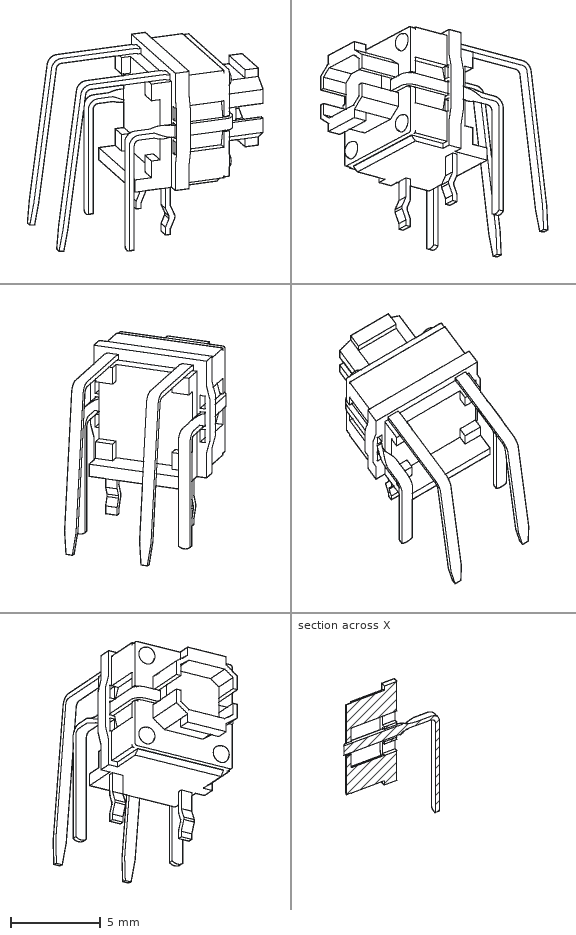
import cadquery as cq
import math


overall_length = 12.45
overall_height = 10.3

flange_half_width = 3.4
flange_ear_half_width = 3.6
flange_thickness = 0.83
height = 7.01
mid_z = height / 2
ear_half_height = 1.25
ear_taper_half_height = 1.99

housing_half_width = 3.2
housing_height = 6.41
housing_back = 3.32
back_plate_thickness = 0.32
back_plate_front = housing_back - back_plate_thickness
back_corner_radius = 0.15
back_plate_drop = 0.01
keel_back = 3.0
keel_chamfer = 0.27

base_half_width = 2.81
base_top = 6.32
base_depth = 0.68
tab_depth = 1.21
tab_width = 1.03
tab_height = 1.0
ledge_depth = 2.19
ledge_height = 0.73

plunger_back = 5.83
plunger_half_width = 2.0
plunger_half_height = 1.8
plunger_top_width = 2.53
plunger_top_half_width = plunger_top_width / 2
plunger_side_half_height = 1.28
lip_thickness = 0.8
lip_half_height = 2.3
plunger_slot_half_height = 0.45
plunger_wall = 0.29
plunger_core_back = 4.3

lead_width = 0.7
sheet = 0.3
bend_inner = 0.3
bend_outer = bend_inner + sheet

strip_x = 3.16
strip_inner = strip_x - sheet / 2
strip_outer = strip_x + sheet / 2
strip_back = 3.66
strip_end_x = plunger_half_width - plunger_wall
twist_length = 1.32
twist_angle = 90
side_lead_front = 2.81
side_lead_bottom = height - overall_height
side_lead_tip = 0.12

recess_half_height = 1.38
recess_end_half_width = 2.76
seat_half_height = 0.42
window_near = 0.62
window_far = 1.4

rivet_x = 2.44
rivet_offset_z = 2.45
rivet_radius = 0.5
rivet_height = 0.31
rivet_rounding = 0.3

front_lead_spacing = 4.52
front_lead_x = front_lead_spacing / 2
front_lead_top = 6.71
front_lead_tilt = 7.7
front_lead_tip_y = plunger_back - overall_length
front_lead_bend_y = -4.78
front_lead_taper = 1.35
front_lead_tip_width = 0.39
root_drop = 0.05
root_step_start = -0.11
root_step_end = -0.36

clip_shift_x = 0.04
clip_bottom = -2.88
clip_knee = 0.27
clip_knee_z = -1.84
clip_knee_flat = 0.15
clip_hollow = -0.09
clip_back_reach = 0.7
clip_front_reach = 0.56


def box(x0, x1, y0, y1, z0, z1):
    """Axis-aligned block between two opposite corners."""
    return cq.Workplane("XY").box(x1 - x0, y1 - y0, z1 - z0, centered=False).translate((x0, y0, z0))


def centred_block(half_width, y0, y1, z0, z1):
    return box(-half_width, half_width, y0, y1, z0, z1)


def along_y(points, y0, y1):
    """Prism with an X-Z outline that spans y0 to y1."""
    return cq.Workplane("XZ", origin=(0, y1, 0)).polyline(points).close().extrude(y1 - y0)


def mirrored_both(shape):
    """The shape together with its copy on the other side of X = 0."""
    return shape.union(shape.mirror("YZ"))


def make_flange():
    side = [
        (flange_half_width, 0),
        (flange_half_width, mid_z - ear_taper_half_height),
        (flange_ear_half_width, mid_z - ear_half_height),
        (flange_ear_half_width, mid_z + ear_half_height),
        (flange_half_width, mid_z + ear_taper_half_height),
        (flange_half_width, height),
    ]
    outline = side + [(-x, z) for x, z in reversed(side)]
    flange = along_y(outline, 0, flange_thickness)

    windows = [
        (-window_far, -window_near),
        (-seat_half_height, seat_half_height),
        (window_near, window_far),
    ]
    for low, high in windows:
        window = box(strip_inner, strip_outer, 0, flange_thickness, mid_z + low, mid_z + high)
        flange = flange.cut(mirrored_both(window))
    return flange


def make_housing():
    low = mid_z - housing_height / 2
    high = mid_z + housing_height / 2
    plate_top = high - back_plate_drop
    main = centred_block(housing_half_width, flange_thickness, back_plate_front, low, high)
    back_plate = centred_block(housing_half_width, back_plate_front, housing_back, low, plate_top)
    back_plate = back_plate.edges("|Y").fillet(back_corner_radius)
    keel = centred_block(base_half_width, flange_thickness, keel_back, 0, low)
    keel = keel.edges(">Y and <Z").chamfer(keel_chamfer)

    outside = flange_ear_half_width
    recess = along_y(
        [
            (outside, mid_z - recess_half_height),
            (recess_end_half_width, mid_z - recess_half_height),
            (strip_inner, mid_z - seat_half_height),
            (strip_inner, mid_z + seat_half_height),
            (recess_end_half_width, mid_z + recess_half_height),
            (outside, mid_z + recess_half_height),
        ],
        flange_thickness,
        back_plate_front,
    )
    back_notch = box(
        strip_inner, outside, back_plate_front, housing_back,
        mid_z - plunger_slot_half_height, mid_z + plunger_slot_half_height,
    )
    housing = main.union(back_plate).union(keel)
    return housing.cut(mirrored_both(recess.union(back_notch)))


def make_base():
    base = centred_block(base_half_width, -base_depth, 0, 0, base_top)
    base = base.union(centred_block(base_half_width, -ledge_depth, 0, 0, ledge_height))
    for tab_bottom in (ledge_height, base_top - tab_height):
        tab = box(
            base_half_width - tab_width, base_half_width, -tab_depth, 0,
            tab_bottom, tab_bottom + tab_height,
        )
        base = base.union(mirrored_both(tab))
    return base


def make_plunger():
    right_side = [
        (plunger_top_half_width, -plunger_half_height),
        (plunger_half_width, -plunger_side_half_height),
        (plunger_half_width, plunger_side_half_height),
        (plunger_top_half_width, plunger_half_height),
    ]
    outline = right_side + [(-x, z) for x, z in reversed(right_side)]
    stem = along_y([(x, mid_z + z) for x, z in outline], housing_back, plunger_back)
    lip = centred_block(
        plunger_top_half_width, plunger_back - lip_thickness, plunger_back,
        mid_z - lip_half_height, mid_z + lip_half_height,
    )
    hollow = (
        cq.Workplane("XZ", origin=(0, plunger_back, mid_z))
        .polyline(outline)
        .close()
        .offset2D(-plunger_wall)
        .extrude(plunger_back - housing_back)
    )
    slot = centred_block(
        plunger_half_width, housing_back, plunger_back,
        mid_z - plunger_slot_half_height, mid_z + plunger_slot_half_height,
    )
    below_core_top = centred_block(plunger_half_width, housing_back, plunger_core_back, 0, height)
    core = hollow.intersect(below_core_top)
    return stem.union(lip).cut(hollow).cut(slot).union(core)


def make_rivet(x, z):
    """Rounded rivet head standing on the back of the housing."""
    head = cq.Workplane("XZ", origin=(x, housing_back, z)).circle(rivet_radius).extrude(-rivet_height)
    return head.faces(">Y").edges().fillet(rivet_rounding)


def make_contact_strip():
    """Upright strip along the +X side, wrapped round the back corner up to the plunger."""
    diagonal = math.sqrt(0.5)
    bend_x = strip_outer - bend_outer
    bend_y = strip_back - bend_outer
    return (
        cq.Workplane("XY", origin=(0, 0, mid_z - lead_width / 2))
        .moveTo(strip_outer, 0)
        .lineTo(strip_outer, bend_y)
        .threePointArc(
            (bend_x + bend_outer * diagonal, bend_y + bend_outer * diagonal),
            (bend_x, strip_back),
        )
        .lineTo(strip_end_x, strip_back)
        .lineTo(strip_end_x, strip_back - sheet)
        .lineTo(bend_x, strip_back - sheet)
        .threePointArc(
            (bend_x + bend_inner * diagonal, bend_y + bend_inner * diagonal),
            (strip_inner, bend_y),
        )
        .lineTo(strip_inner, 0)
        .close()
        .extrude(lead_width)
    )


def make_side_lead(x):
    """Quarter-turn twist out of the flange, then a flat lead bent down."""
    twist = (
        cq.Workplane("XZ", origin=(x, 0, mid_z))
        .rect(sheet, lead_width)
        .twistExtrude(twist_length, twist_angle)
    )

    diagonal = math.sqrt(0.5)
    top = mid_z + sheet / 2
    bend_y = bend_outer - side_lead_front
    bend_z = top - bend_outer
    flat = (
        cq.Workplane("YZ", origin=(x - lead_width / 2, 0, 0))
        .moveTo(-twist_length, top)
        .lineTo(bend_y, top)
        .threePointArc(
            (bend_y - bend_outer * diagonal, bend_z + bend_outer * diagonal),
            (-side_lead_front, bend_z),
        )
        .lineTo(-side_lead_front, side_lead_bottom)
        .lineTo(-side_lead_front + sheet, side_lead_bottom)
        .lineTo(-side_lead_front + sheet, bend_z)
        .threePointArc(
            (bend_y - bend_inner * diagonal, bend_z + bend_inner * diagonal),
            (bend_y, top - sheet),
        )
        .lineTo(-twist_length, top - sheet)
        .close()
        .extrude(lead_width)
    )

    half = lead_width / 2
    rounded_front = (
        cq.Workplane("XZ", origin=(x, 0, 0))
        .moveTo(-half, top)
        .lineTo(-half, side_lead_bottom + side_lead_tip)
        .threePointArc((0, side_lead_bottom), (half, side_lead_bottom + side_lead_tip))
        .lineTo(half, top)
        .close()
        .extrude(side_lead_front)
    )
    return twist.union(flat.intersect(rounded_front))


def make_front_lead(x):
    """Lead that steps up out of the flange, runs forward and bends down past vertical."""
    tilt = math.radians(front_lead_tilt)
    bend_z = front_lead_top - bend_outer

    def on_bend(radius, angle):
        return (front_lead_bend_y - radius * math.cos(angle), bend_z + radius * math.sin(angle))

    middle = (tilt + math.pi / 2) / 2
    outer_start = on_bend(bend_outer, tilt)
    leg = (outer_start[0] - front_lead_tip_y) / math.sin(tilt)
    inner_start = on_bend(bend_inner, tilt)
    leg_y = -leg * math.sin(tilt)
    leg_z = -leg * math.cos(tilt)

    forward = (-1, 0)
    backward = (1, 0)
    underside = front_lead_top - sheet
    lead = (
        cq.Workplane("YZ", origin=(x - lead_width / 2, 0, 0))
        .moveTo(0, front_lead_top - root_drop)
        .lineTo(root_step_start, front_lead_top - root_drop)
        .spline([(root_step_end, front_lead_top)], tangents=[forward, forward], includeCurrent=True)
        .lineTo(front_lead_bend_y, front_lead_top)
        .threePointArc(on_bend(bend_outer, middle), outer_start)
        .lineTo(outer_start[0] + leg_y, outer_start[1] + leg_z)
        .lineTo(inner_start[0] + leg_y, inner_start[1] + leg_z)
        .lineTo(*inner_start)
        .threePointArc(on_bend(bend_inner, middle), (front_lead_bend_y, underside))
        .lineTo(root_step_end, underside)
        .spline(
            [(root_step_start, underside - root_drop)],
            tangents=[backward, backward],
            includeCurrent=True,
        )
        .lineTo(0, underside - root_drop)
        .close()
        .extrude(lead_width)
    )

    leg_plane = cq.Plane(
        origin=(x, outer_start[0] + leg_y, outer_start[1] + leg_z),
        xDir=(1, 0, 0),
        normal=(0, -math.cos(tilt), math.sin(tilt)),
    )
    trimming = (
        cq.Workplane(leg_plane)
        .moveTo(front_lead_tip_width / 2, 0)
        .lineTo(lead_width / 2, front_lead_taper)
        .lineTo(lead_width / 2, 0)
        .close()
        .extrude(-sheet)
    )
    return lead.cut(trimming).cut(trimming.mirror("YZ", (x, 0, 0)))


def make_clip(x):
    """Retention clip with one knee towards the back."""
    return (
        cq.Workplane("YZ", origin=(x - lead_width / 2, 0, 0))
        .polyline(
            [
                (0, 0),
                (0, clip_knee_z + clip_back_reach),
                (clip_knee, clip_knee_z + clip_knee_flat / 2),
                (clip_knee, clip_knee_z - clip_knee_flat / 2),
                (0, clip_knee_z - clip_back_reach),
                (0, clip_bottom),
                (-sheet, clip_bottom),
                (-sheet, clip_knee_z - clip_front_reach),
                (clip_hollow, clip_knee_z - clip_knee_flat / 2),
                (clip_hollow, clip_knee_z + clip_knee_flat / 2),
                (-sheet, clip_knee_z + clip_front_reach),
                (-sheet, 0),
            ]
        )
        .close()
        .extrude(lead_width)
    )


result = make_flange().union(make_housing()).union(make_base()).union(make_plunger())
result = result.union(mirrored_both(make_contact_strip()))

for side in (-1, 1):
    result = result.union(make_side_lead(side * strip_x))
    result = result.union(make_front_lead(side * front_lead_x))
    result = result.union(make_clip(side * front_lead_x + clip_shift_x))
    for level in (-1, 1):
        result = result.union(make_rivet(side * rivet_x, mid_z + level * rivet_offset_z))